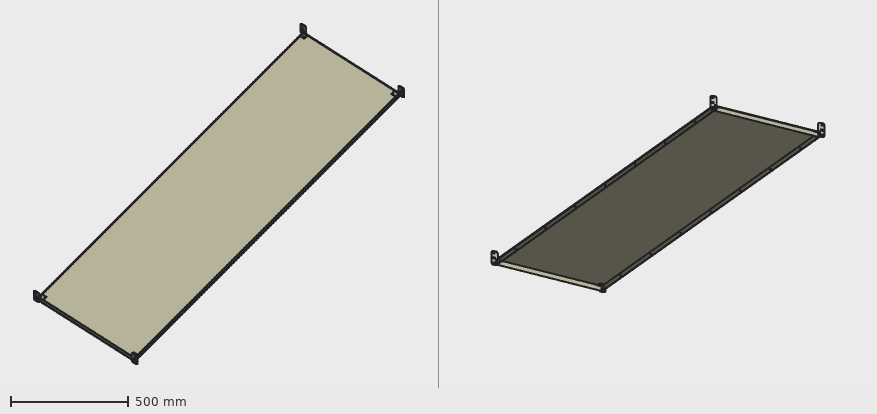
import cadquery as cq

overall_width = 567.0
overall_length = 1830.0
overall_height = 65.0

bracket_sheet = 2.0
plate_width = 32.0
plate_corner_radius = 11.0
plate_hole_diameter = 9.0
plate_hole_inset_x = 10.5
plate_hole_inset_z = 7.5
notch_depth = 17.0
notch_height = 5.0

shelf_sheet = 2.5
shelf_width = 525.0
shelf_height = 25.0
deck_length = 1815.0
side_wall_length = overall_length - 2 * bracket_sheet
deck_underside = shelf_height - shelf_sheet
wall_relief_height = 15.0

deck_hole_diameter = 6.0
deck_hole_x = 243.0
deck_hole_y = 889.0
side_hole_diameter = 5.0
side_hole_pitch = 250.0
side_hole_count = 7
side_hole_z = 10.0

leg_outer_x = shelf_width / 2 - shelf_sheet
leg_inner_x = leg_outer_x - bracket_sheet
leg_bottom = 5.0
tab_margin = 5.5
tab_inner_x = deck_hole_x - tab_margin
tab_inner_y = deck_hole_y - tab_margin
tab_outer_y = deck_length / 2 - shelf_sheet
tab_underside = deck_underside - bracket_sheet


def block(x_range, y_range, z_range):
    """Box between two limits along each axis."""
    (x0, x1), (y0, y1), (z0, z1) = x_range, y_range, z_range
    box = cq.Workplane("XY").box(x1 - x0, y1 - y0, z1 - z0, centered=False)
    return box.translate((x0, y0, z0))


def centred_block(width, length, height):
    """Box centred in X and Y that stands on the bottom plane of the shelf."""
    return cq.Workplane("XY").box(width, length, height, centered=(True, True, False))


def all_corners(shape):
    """The shape given for the +X, +Y corner, mirrored into all four corners."""
    in_x = shape.mirror("YZ")
    return [shape, in_x, shape.mirror("XZ"), in_x.mirror("XZ")]


def deck_hole_cutter():
    return (
        cq.Workplane("XY")
        .center(deck_hole_x, deck_hole_y)
        .circle(deck_hole_diameter / 2)
        .extrude(shelf_height)
    )


def side_hole_cutters():
    return (
        cq.Workplane("YZ", origin=(0, 0, side_hole_z))
        .rarray(side_hole_pitch, 1, side_hole_count, 1)
        .circle(side_hole_diameter / 2)
        .extrude(shelf_width / 2, both=True)
    )


def make_shelf():
    inner_width = shelf_width - 2 * shelf_sheet
    tray = centred_block(shelf_width, deck_length, shelf_height)
    tray = tray.cut(centred_block(inner_width, deck_length - 2 * shelf_sheet, deck_underside))

    side_walls = centred_block(shelf_width, side_wall_length, shelf_height)
    side_walls = side_walls.cut(centred_block(inner_width, side_wall_length, shelf_height))
    shelf = tray.union(side_walls)
    wall_relief = block(
        (leg_outer_x, shelf_width / 2),
        (deck_length / 2, side_wall_length / 2),
        (0, wall_relief_height),
    )

    leg_slot = block(
        (leg_inner_x, leg_outer_x),
        (tab_outer_y, deck_length / 2),
        (0, tab_underside),
    )
    for corner_cut in (wall_relief, leg_slot, deck_hole_cutter()):
        for cutter in all_corners(corner_cut):
            shelf = shelf.cut(cutter)
    return shelf.cut(side_hole_cutters())


def make_end_plate():
    """Rounded upright plate with an open notch and two holes near its outer edge."""
    outer_x = overall_width / 2
    outer_y = overall_length / 2
    mid_z = overall_height / 2
    plate = block(
        (outer_x - plate_width, outer_x),
        (outer_y - bracket_sheet, outer_y),
        (0, overall_height),
    )
    plate = plate.edges("|Y").fillet(plate_corner_radius)
    notch = block(
        (outer_x - notch_depth, outer_x),
        (outer_y - bracket_sheet, outer_y),
        (mid_z - notch_height / 2, mid_z + notch_height / 2),
    )
    holes = (
        cq.Workplane("XZ", origin=(outer_x - plate_hole_inset_x, outer_y, mid_z))
        .rarray(1, overall_height - 2 * plate_hole_inset_z, 1, 2)
        .circle(plate_hole_diameter / 2)
        .extrude(bracket_sheet)
    )
    return plate.cut(notch).cut(holes)


def make_bracket():
    """Bracket of the +X, +Y corner."""
    leg = block(
        (leg_inner_x, leg_outer_x),
        (tab_inner_y, side_wall_length / 2),
        (leg_bottom, tab_underside),
    )
    tab = block(
        (tab_inner_x, leg_outer_x),
        (tab_inner_y, tab_outer_y),
        (tab_underside, deck_underside),
    )
    return make_end_plate().union(leg).union(tab).cut(deck_hole_cutter())


shelf = make_shelf()
brackets = all_corners(make_bracket())
result = cq.Compound.makeCompound([shelf.val(), *[bracket.val() for bracket in brackets]])